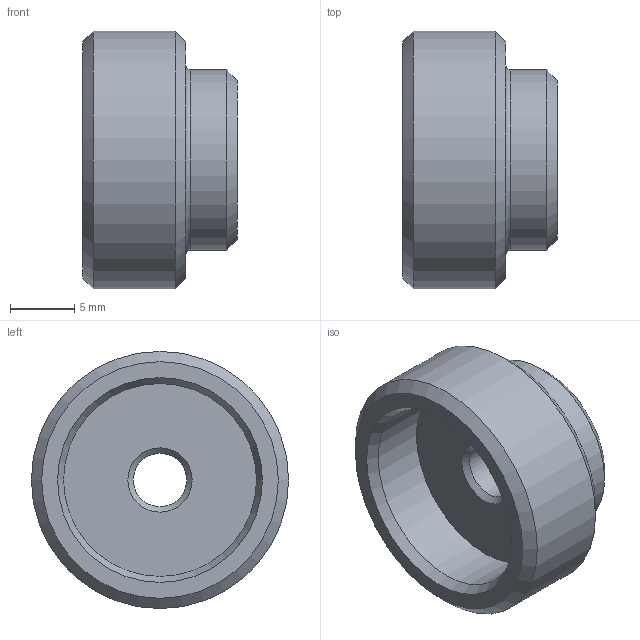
import cadquery as cq
import math

rim_diameter = 20.0
rim_length = 8.0
boss_diameter = 14.0
total_length = 12.0
edge_chamfer = 0.8
neck_fillet = 0.4

recess_diameter = 15.0
recess_depth = 5.0
recess_cone_depth = edge_chamfer
recess_cone_half_angle = 30.0
recess_mouth_diameter = (
    recess_diameter + 2 * recess_cone_depth * math.tan(math.radians(recess_cone_half_angle))
)

bore_diameter = 4.134
bore_mouth_diameter = 5.0
bore_cone_depth = (bore_mouth_diameter - bore_diameter) / 2


def cylinder(diameter, length):
    """Solid cylinder along +X starting at the -X end face."""
    return cq.Workplane("YZ").circle(diameter / 2).extrude(length)


def lead_in_cone(start, mouth_diameter, hole_diameter, depth):
    """Cone that narrows along +X from the mouth to the hole diameter."""
    profile = [
        (start, 0),
        (start, mouth_diameter / 2),
        (start + depth, hole_diameter / 2),
        (start + depth, 0),
    ]
    return cq.Workplane("XY").polyline(profile).close().revolve(360, (0, 0, 0), (1, 0, 0))


def make_body():
    """Chamfered rim and boss, blended by a fillet where they meet."""
    rim = cylinder(rim_diameter, rim_length).edges("%CIRCLE").chamfer(edge_chamfer)
    boss = cylinder(boss_diameter, total_length).faces(">X").edges().chamfer(edge_chamfer)
    around_rim_face = cq.selectors.BoxSelector(
        (rim_length - neck_fillet, -rim_diameter, -rim_diameter),
        (rim_length + neck_fillet, rim_diameter, rim_diameter),
        boundingbox=True,
    )
    neck = cq.selectors.RadiusNthSelector(0)
    return rim.union(boss).edges(around_rim_face).edges(neck).fillet(neck_fillet)


def cut_recess(body):
    """Blind recess with a conical mouth."""
    recess = cylinder(recess_diameter, recess_depth)
    mouth = lead_in_cone(0, recess_mouth_diameter, recess_diameter, recess_cone_depth)
    return body.cut(recess).cut(mouth)


def cut_bore(body):
    """Through bore, countersunk at the recess floor."""
    bore = cylinder(bore_diameter, total_length)
    mouth = lead_in_cone(recess_depth, bore_mouth_diameter, bore_diameter, bore_cone_depth)
    return body.cut(bore).cut(mouth)


result = cut_bore(cut_recess(make_body()))